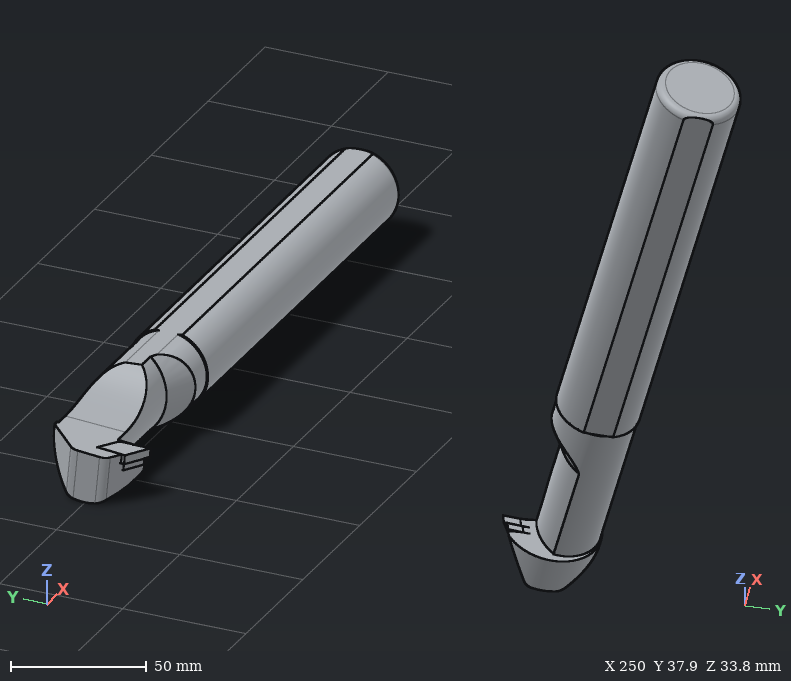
import cadquery as cq
import math

bar_length = 250
shank_start = 80
shank_radius = 16.0
flat_height = 15.0
end_round = 3.0

neck_radius = 15.5
relief_end = 58.8
relief_bulge_y = -9.0
relief_top_y = -2.5
relief_angle = 30
relief_runout = 22.5

head_length = 16.0
head_radius = 19.0
head_center_y = -3.0
head_center_z = 0.2
rake_tilt = 5.5
rake_height = 2.0
nose_y = 2.0
lead_y = -11.2
lead_angle = 30
nose_round = 5.0
lead_round = 4.0

gullet_start = 22.5
gullet_radius = 37.5
gullet_yaw = 3

insert_start = 6.5
root_start = 7.8
insert_inner_y = -5.0
insert_back = 15.2
tip_x = 17.0
tip_y = -22.0
edge_overhang = 1.2
edge_thickness = 3.8
insert_thickness = 7.0

clear = 50

lead_slope = math.tan(math.radians(lead_angle))


def rake_plane():
    """Plane of the rake face: local x along the bar, local y across it."""
    plane = cq.Plane(origin=(0, 0, rake_height), xDir=(1, 0, 0), normal=(0, 0, 1))
    return plane.rotated((rake_tilt, 0, 0))


def lead_face_y(x):
    """Y of the slanted leading face of the head at a distance x along the bar."""
    return lead_y - x * lead_slope


def make_shank():
    shank = cq.Workplane("YZ", origin=(shank_start, 0, 0)).circle(shank_radius)
    shank = shank.extrude(bar_length - shank_start).faces(">X").edges().fillet(end_round)
    flats = cq.Workplane("XY").box(2 * bar_length, clear, 2 * flat_height)
    return shank.intersect(flats)


def make_relief():
    """Cutter beside the neck: straight along the bar, then running out sideways."""
    profile = (
        cq.Workplane("YZ")
        .moveTo(relief_top_y, flat_height)
        .threePointArc((relief_bulge_y, 0), (relief_top_y, -flat_height))
        .lineTo(relief_top_y, -clear)
        .lineTo(-clear, -clear)
        .lineTo(-clear, clear)
        .lineTo(relief_top_y, clear)
        .close()
    )
    straight = profile.extrude(relief_end)
    end_face = straight.faces(">X").val()
    runout_vector = cq.Vector(relief_runout, -relief_runout * math.tan(math.radians(relief_angle)), 0)
    runout = cq.Solid.extrudeLinear(end_face, runout_vector)
    return straight.union(cq.Workplane(runout))


def make_neck():
    neck = cq.Workplane("YZ").circle(neck_radius).extrude(shank_start)
    top_trim = cq.Workplane("XY", origin=(0, 0, flat_height)).box(
        2 * bar_length, clear, clear, centered=(True, True, False)
    )
    return neck.cut(top_trim).cut(make_relief())


def head_envelope():
    return (
        cq.Workplane("YZ")
        .center(head_center_y, head_center_z)
        .circle(head_radius)
        .extrude(bar_length)
    )


def head_block(length):
    """Pointed profile of the nose, running back along the bar for the given length."""
    block = (
        cq.Workplane(rake_plane())
        .moveTo(0, nose_y)
        .lineTo(length, nose_y + length)
        .lineTo(length, lead_face_y(length))
        .lineTo(0, lead_y)
        .close()
        .extrude(2 * clear, both=True)
    )
    rake = rake_plane()
    upper_edge = cq.selectors.NearestToPointSelector(rake.toWorldCoords((0, nose_y, 0)).toTuple())
    lower_edge = cq.selectors.NearestToPointSelector(rake.toWorldCoords((0, lead_y, 0)).toTuple())
    return block.edges(upper_edge).fillet(nose_round).edges(lower_edge).fillet(lead_round)


def make_gullet():
    """Cutter above the rake face, curving up to the top flat."""
    side = rake_plane().rotated((0, 0, gullet_yaw)).rotated((90, 0, 0))
    return (
        cq.Workplane(side)
        .moveTo(-clear, 0)
        .lineTo(gullet_start, 0)
        .radiusArc((gullet_start + gullet_radius, gullet_radius), -gullet_radius)
        .lineTo(-clear, gullet_radius)
        .close()
        .extrude(clear, both=True)
    )


def insert_prism(start, overhang, top_depth, bottom_depth):
    """Slab of the insert between two depths, its edge standing out from the leading face."""
    front_y = lead_face_y(start) - overhang
    inner_y = insert_inner_y - (start - insert_start) * lead_slope
    back_y = insert_inner_y - (insert_back - insert_start) * lead_slope
    return (
        cq.Workplane(rake_plane())
        .workplane(offset=-top_depth)
        .moveTo(start, inner_y)
        .lineTo(insert_back, back_y)
        .lineTo(tip_x, tip_y + edge_overhang - overhang)
        .lineTo(start, front_y)
        .close()
        .extrude(top_depth - bottom_depth)
    )


def make_insert():
    edge = insert_prism(insert_start, edge_overhang, 0, edge_thickness)
    root = insert_prism(root_start, 0, edge_thickness, insert_thickness)
    return edge.union(root).intersect(head_envelope())


def make_holder(insert):
    nose = head_block(head_length).intersect(head_envelope())
    front_trim = cq.Workplane("XY").box(head_length, clear * 2, clear * 2, centered=(False, True, True))
    bar = make_neck().cut(front_trim)
    return bar.union(nose).union(make_shank()).cut(make_gullet()).cut(insert)


insert = make_insert()
holder = make_holder(insert)

result = cq.Compound.makeCompound([holder.val(), insert.val()])